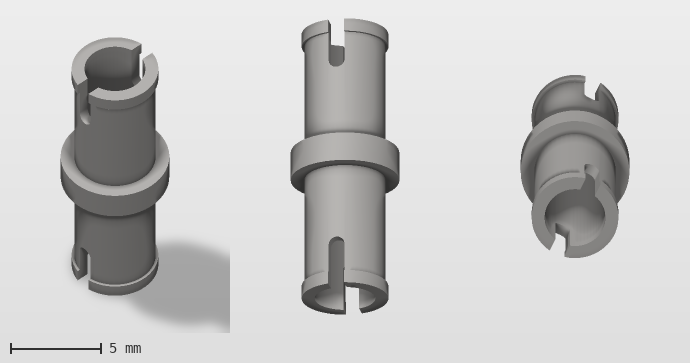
import cadquery as cq

length = 15.72
collar_diameter = 6.0
collar_height = 1.63
body_diameter = 4.5
lip_diameter = 4.8
lip_height = 0.74
bore_diameter = 3.36
slot_width = 0.9
slot_depth = 2.8


def cylinder(diameter, height, center_z=0.0):
    """Cylinder on the Z axis, centered at the given height."""
    return cq.Workplane("XY").cylinder(height, diameter / 2).translate((0, 0, center_z))


def end_slot(end):
    """Round-bottomed slot through both walls along Y; end is +1 (top) or -1 (bottom)."""
    slot_radius = slot_width / 2
    end_z = end * length / 2
    arc_start_z = end * (length / 2 - slot_depth + slot_radius)
    slot_bottom_z = end * (length / 2 - slot_depth)
    return (
        cq.Workplane("XZ")
        .moveTo(-slot_radius, end_z)
        .lineTo(-slot_radius, arc_start_z)
        .threePointArc((0, slot_bottom_z), (slot_radius, arc_start_z))
        .lineTo(slot_radius, end_z)
        .close()
        .extrude(lip_diameter, both=True)
    )


pin = cylinder(body_diameter, length).union(cylinder(collar_diameter, collar_height))

for end in (1, -1):
    pin = pin.union(cylinder(lip_diameter, lip_height, end * (length - lip_height) / 2))

pin = pin.cut(cylinder(bore_diameter, length))

for end in (1, -1):
    pin = pin.cut(end_slot(end))

result = pin